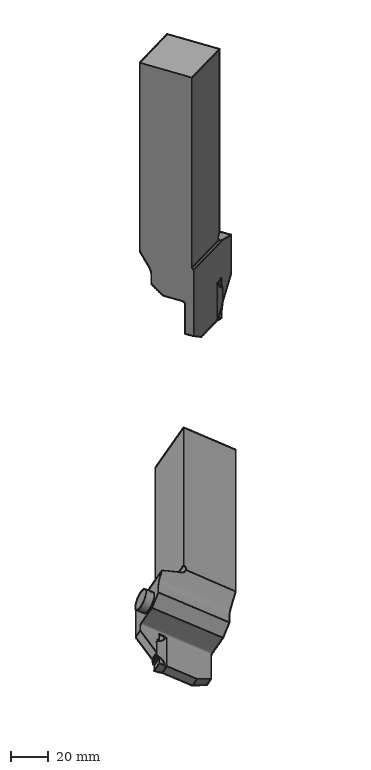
import cadquery as cq
import math

total_height = 170.0

shank_width = 31.6
shank_depth = 31.8
side_draft = 0.2

head_slope_top = 50.5
waist_x = 7.1
waist_corner_z = 40.0
waist_radius = 9.4
waist_bottom = 31.6
chin_x = 14.3
chin_z = 26.4
chin_fillet = 1.4

blade_left = 27.4
blade_right = 32.6
blade_bottom = 0.7
blade_step_bottom = 48.3
blade_step_height = 1.0
blade_chamfer_y = 8.7
blade_chamfer_top = 6.1

head_back = 43.2
head_back_top = 45.9
head_back_bottom = 21.2
groove_top = 53.5
groove_floor_y = 30.3
groove_mid_z = 51.0
groove_end_y = 33.0
groove_bottom = 48.5

boss_diameter = 12.2
boss_back = 48.1
boss_x = 17.8
boss_z = 34.3

insert_length = 24.8
insert_seat_y = 27.0
insert_back = 33.2
cutting_edge_y = 31.8
chip_lip_y = 32.8
chip_floor_z = 4.6
chip_lip_start = 5.0
chip_lip_z = 6.1
insert_back_start = 7.0
end_clearance = 0.5
tip_left = 27.0
tip_right = 33.0
tip_flank_y = 28.4
tip_flank_mid = (29.8, 4.0)
jaw_tip_z = 8.5


def side_prism(outline, x_start, x_end):
    """Extrude a closed Y-Z outline from x_start to x_end."""
    return outline.extrude(x_end - x_start).translate((x_start, 0, 0))


def front_prism():
    """Shank, head and blade outline carried through the full depth."""
    slope_angle = math.atan2(waist_x, head_slope_top - waist_corner_z)
    tangent_length = waist_radius * math.tan(slope_angle / 2)
    arc_start = (
        waist_x - tangent_length * math.sin(slope_angle),
        waist_corner_z + tangent_length * math.cos(slope_angle),
    )
    arc_end = (waist_x, waist_corner_z - tangent_length)
    return (
        cq.Workplane("XZ")
        .moveTo(0, total_height)
        .lineTo(0, head_slope_top)
        .lineTo(*arc_start)
        .tangentArcPoint(arc_end, relative=False)
        .lineTo(waist_x, waist_bottom)
        .lineTo(chin_x, chin_z)
        .lineTo(blade_left - chin_fillet, chin_z)
        .tangentArcPoint((blade_left, chin_z - chin_fillet), relative=False)
        .lineTo(blade_left, blade_bottom)
        .lineTo(blade_right, blade_bottom)
        .lineTo(blade_right, blade_step_bottom)
        .lineTo(shank_width, blade_step_bottom + blade_step_height)
        .lineTo(shank_width, total_height)
        .close()
        .extrude(-head_back)
    )


def side_envelope():
    """Y-Z outline of the holder: shank, relief groove, head back and blade."""
    outline = (
        cq.Workplane("YZ")
        .moveTo(0, total_height)
        .lineTo(0, blade_chamfer_top)
        .lineTo(blade_chamfer_y, blade_bottom)
        .lineTo(insert_seat_y, blade_bottom)
        .lineTo(insert_seat_y, jaw_tip_z)
        .lineTo(insert_back, jaw_tip_z)
        .lineTo(head_back, head_back_bottom)
        .lineTo(head_back, head_back_top)
        .lineTo(groove_end_y, groove_bottom)
        .threePointArc((groove_floor_y, groove_mid_z), (shank_depth, groove_top))
        .lineTo(shank_depth, total_height)
        .close()
    )
    return side_prism(outline, 0, blade_right)


def draft_wedge():
    """Sliver removed from the -X side so that it leans in toward the front."""
    return (
        cq.Workplane("XY")
        .polyline([(0, 0), (side_draft, 0), (0, shank_depth)])
        .close()
        .extrude(total_height)
    )


def make_boss():
    """Round boss standing on the back of the head."""
    return (
        cq.Workplane("XZ", origin=(boss_x, head_back, boss_z))
        .circle(boss_diameter / 2)
        .extrude(head_back - boss_back)
    )


def insert_body():
    """Narrow insert body with a chip recess at each end."""
    lower_edge = [
        (insert_seat_y, end_clearance),
        (cutting_edge_y, 0),
        (cutting_edge_y, chip_floor_z),
        (chip_lip_y, chip_lip_start),
        (chip_lip_y, chip_lip_z),
        (insert_back, insert_back_start),
    ]
    upper_edge = [(y, insert_length - z) for y, z in reversed(lower_edge)]
    outline = cq.Workplane("YZ").polyline(lower_edge + upper_edge).close()
    return side_prism(outline, blade_left, blade_right)


def insert_tip():
    """Wide lower cutting tip, narrowing to the blade width above the edge."""
    flank_bottom = end_clearance * (cutting_edge_y - tip_flank_y) / (cutting_edge_y - insert_seat_y)
    outline = (
        cq.Workplane("YZ")
        .moveTo(tip_flank_y, flank_bottom)
        .lineTo(cutting_edge_y, 0)
        .lineTo(cutting_edge_y, chip_floor_z)
        .lineTo(chip_lip_y, chip_lip_start)
        .lineTo(chip_lip_y, chip_lip_z)
        .threePointArc(tip_flank_mid, (tip_flank_y, flank_bottom))
        .close()
    )
    side_relief = (
        cq.Workplane("XZ")
        .polyline([
            (tip_left, 0),
            (tip_right, 0),
            (blade_right, chip_lip_z),
            (blade_left, chip_lip_z),
        ])
        .close()
        .extrude(-insert_back)
    )
    return side_prism(outline, tip_left, tip_right).intersect(side_relief)


def make_insert():
    lower_tip = insert_tip()
    upper_tip = lower_tip.mirror("XY", (0, 0, insert_length / 2))
    return insert_body().union(lower_tip).union(upper_tip)


def make_holder(seated_insert):
    """Holder with its boss and a seat matching the insert."""
    holder = front_prism().intersect(side_envelope())
    holder = holder.cut(draft_wedge())
    holder = holder.union(make_boss())
    return holder.cut(seated_insert)


insert = make_insert()
holder = make_holder(insert)
result = cq.Compound.makeCompound([holder.val(), insert.val()])